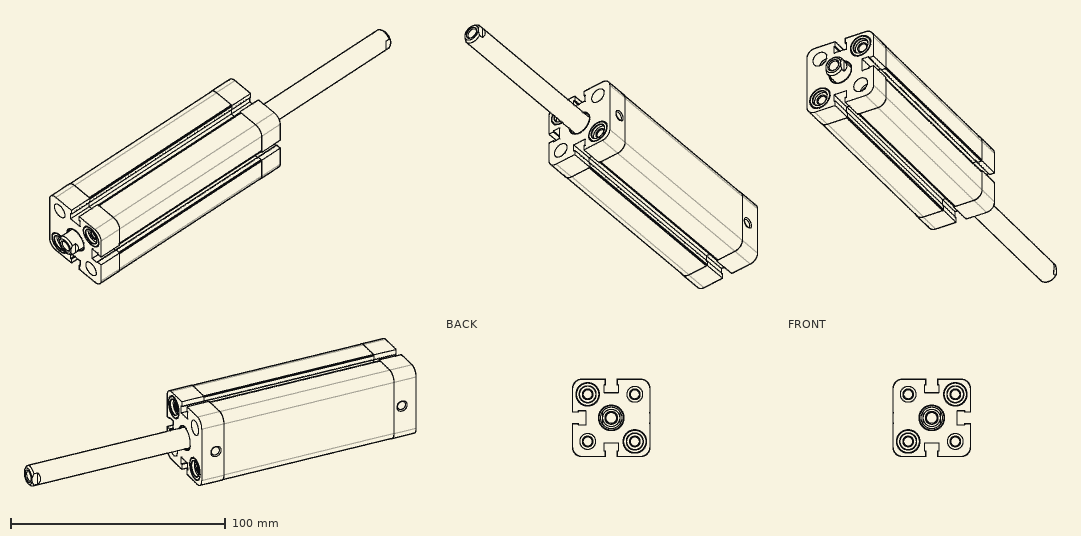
import cadquery as cq

total_length = 200.0
stub_length = 6.5
housing_length = 112.0
cap_length = 11.6
barrel_length = housing_length - 2 * cap_length
rod_start = -stub_length
rod_end = rod_start + total_length

cap_width = 36.2
barrel_width = 36.0
corner_radius = 4.5
cap_draft_angle = 0.2

slot_mouth_width = 5.5
slot_inner_width = 6.6
slot_floor = 11.8
slot_lip = 15.5
rabbet_depth = 0.5
rabbet_width = slot_inner_width
slot_angles = (-90, 0, 90)

rod_diameter = 10.0
rod_chamfer = 1.0
flat_width = 8.0
flat_length = 3.0
rod_thread_diameter = 5.0
rod_thread_mouth = 6.0
rod_thread_depth = 10.0

recess_diameter = 11.5
recess_mouth_diameter = 12.0
recess_mouth_depth = 0.6
recess_depth = 6.0

hole_offset = 11.0
collar_groove_outer = 11.0
collar_groove_inner = 10.5
collar_groove_depth = 1.0
socket_mouth = 8.0
socket_diameter = 7.6
socket_depth = 1.6
plain_diameter = 7.5
plain_depth = 6.0
thread_mouth = 5.0
thread_core = 4.2
thread_end_depth = 10.0

port_mouth = 5.5
port_core = 4.2
port_depth = 6.0
port_inset = 7.5

along_x = cq.Vector(1, 0, 0)
along_y = cq.Vector(0, 1, 0)


def cylinder(diameter, length, start, direction=along_y):
    return cq.Workplane(cq.Solid.makeCylinder(diameter / 2, length, cq.Vector(*start), direction))


def countersink(mouth, bore, start, direction=along_y):
    """45-degree cone that narrows from the mouth to the bore diameter."""
    depth = (mouth - bore) / 2
    return cq.Workplane(cq.Solid.makeCone(mouth / 2, bore / 2, depth, cq.Vector(*start), direction))


def square_bar(width, y_start, length, taper=0):
    """Square bar along Y with rounded corners; a taper narrows it towards -Y."""
    outline = cq.Sketch().rect(width, width).vertices().fillet(corner_radius)
    seam_plane = cq.Workplane("XZ", origin=(0, y_start + length, 0))
    return seam_plane.placeSketch(outline).extrude(length, taper=taper)


def groove_block(width, inner, y_start, length):
    """Block from the given distance on the +X side to beyond the outer side."""
    block = cq.Workplane("XY").box(cap_width - inner, length, width, centered=(False, False, True))
    return block.translate((inner, y_start, 0))


def cut_slots(body, slot):
    for angle in slot_angles:
        body = body.cut(slot.rotate((0, 0, 0), (0, 1, 0), angle))
    return body


def t_slot(y_start, length):
    mouth = groove_block(slot_mouth_width, slot_floor, y_start, length)
    undercut = groove_block(slot_inner_width, slot_floor, y_start, length)
    undercut = undercut.cut(groove_block(slot_inner_width, slot_lip, y_start, length))
    return mouth.union(undercut)


def cut_thread(cap, x, z, depth):
    """Threaded hole that starts at the given depth below the cap face."""
    cap = cap.cut(countersink(thread_mouth, thread_core, (x, depth, z)))
    return cap.cut(cylinder(thread_core, thread_end_depth - depth, (x, depth, z)))


def cut_collar_hole(cap, x, z):
    face = (x, 0, z)
    collar = cylinder(collar_groove_inner, collar_groove_depth, face)
    cap = cap.cut(cylinder(collar_groove_outer, collar_groove_depth, face).cut(collar))
    cap = cap.cut(countersink(socket_mouth, socket_diameter, face))
    cap = cap.cut(cylinder(socket_diameter, socket_depth, face))
    return cut_thread(cap, x, z, socket_depth)


def cut_plain_hole(cap, x, z):
    cap = cap.cut(cylinder(plain_diameter, plain_depth, (x, 0, z)))
    return cut_thread(cap, x, z, plain_depth)


def cut_port(cap):
    start = (-cap_width / 2, port_inset, 0)
    cap = cap.cut(cylinder(port_core, port_depth, start, along_x))
    return cap.cut(countersink(port_mouth, port_core, start, along_x))


def make_cap():
    """End cap with its outer face at Y = 0."""
    cap = square_bar(cap_width, 0, cap_length, cap_draft_angle)
    cap = cut_slots(cap, t_slot(0, cap_length))
    cap = cap.cut(cylinder(rod_diameter, cap_length, (0, 0, 0)))
    cap = cap.cut(cylinder(recess_diameter, recess_depth, (0, 0, 0)))
    cap = cap.cut(cylinder(recess_mouth_diameter, recess_mouth_depth, (0, 0, 0)))
    for offset in (-hole_offset, hole_offset):
        cap = cut_collar_hole(cap, offset, offset)
        cap = cut_plain_hole(cap, offset, -offset)
    return cut_port(cap)


def make_barrel():
    barrel = square_bar(barrel_width, cap_length, barrel_length)
    rabbet = groove_block(rabbet_width, barrel_width / 2 - rabbet_depth, cap_length, barrel_length)
    barrel = cut_slots(barrel, t_slot(cap_length, barrel_length).union(rabbet))
    return barrel.cut(cylinder(rod_diameter, barrel_length, (0, cap_length, 0)))


def flat_cutter(y_end, inward, side):
    """Wedge-ended block that leaves one wrench flat with a 45-degree run-out."""
    flat_x = flat_width / 2
    run_out = (rod_diameter - flat_width) / 2
    outline = [
        (side * flat_x, y_end),
        (side * flat_x, y_end + inward * flat_length),
        (side * (flat_x + run_out), y_end + inward * (flat_length + run_out)),
        (side * (flat_x + run_out), y_end),
    ]
    return cq.Workplane("XY").polyline(outline).close().extrude(rod_diameter / 2, both=True)


def make_rod():
    rod = cylinder(rod_diameter, total_length, (0, rod_start, 0))
    rod = rod.faces("<Y or >Y").chamfer(rod_chamfer)
    for y_end, inward in ((rod_start, 1), (rod_end, -1)):
        for side in (-1, 1):
            rod = rod.cut(flat_cutter(y_end, inward, side))
        end_centre = (0, y_end, 0)
        into_rod = along_y * inward
        rod = rod.cut(cylinder(rod_thread_diameter, rod_thread_depth, end_centre, into_rod))
        rod = rod.cut(countersink(rod_thread_mouth, rod_thread_diameter, end_centre, into_rod))
    return rod


caps = []
for at_rear in (False, True):
    cap = make_cap()
    if at_rear:
        cap = cap.mirror("XZ").translate((0, housing_length, 0))
    caps.append(cap.val())

barrel = make_barrel()
piston_rod = make_rod()

result = cq.Compound.makeCompound([*caps, barrel.val(), piston_rod.val()])